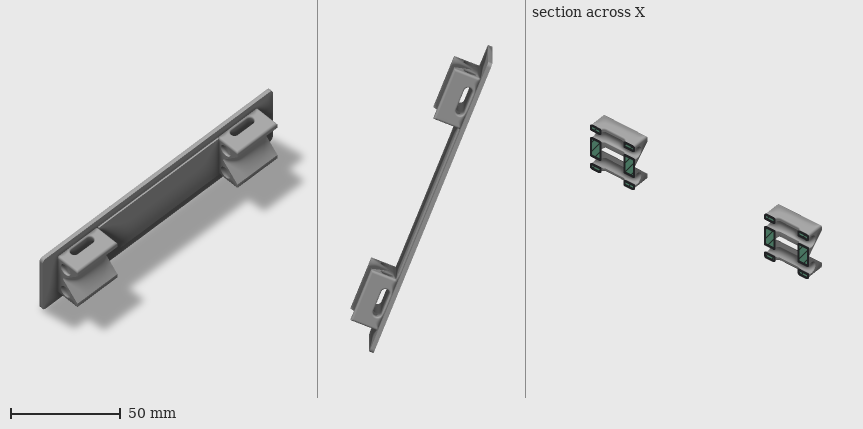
import cadquery as cq

OVERALL_DEPTH = 14.91
PLATE_LENGTH = 146.1
PLATE_HEIGHT = 35.1
PLATE_THICKNESS = 2.05
PLATE_CORNER_RADIUS = 2.0

BLOCK_SIZE = 25.4
BLOCK_SPACING = 101.6
BLOCK_EDGE_RADIUS = 1.1
BLOCK_DEPTH = OVERALL_DEPTH - PLATE_THICKNESS
BLOCK_CENTERS_Y = (-BLOCK_SPACING / 2, BLOCK_SPACING / 2)

WEB_THICKNESS = 0.8
WEB_LENGTH = BLOCK_SPACING - BLOCK_SIZE

GROOVE_APEX_X = 5.3
GROOVE_HALF_OPENING = OVERALL_DEPTH - GROOVE_APEX_X

HOLE_DIAMETER = 6.35
HOLE_X = 7.2
HOLE_OFFSET_Z = 7.62

SLOT_X = 4.95
SLOT_WIDTH = 4.0
SLOT_LENGTH = 13.7
SLOT_RIM_RADIUS = 0.8


def box_from_x(start_x, depth, length, height, center_y=0):
    """Box centred on Z = 0 that runs from start_x toward +X."""
    return (
        cq.Workplane("XY")
        .box(depth, length, height, centered=(False, True, True))
        .translate((start_x, center_y, 0))
    )


def make_plate():
    plate = box_from_x(0, PLATE_THICKNESS, PLATE_LENGTH, PLATE_HEIGHT)
    return plate.edges("|X").fillet(PLATE_CORNER_RADIUS)


def make_web():
    return box_from_x(PLATE_THICKNESS, WEB_THICKNESS, WEB_LENGTH, BLOCK_SIZE)


def make_groove(center_y):
    return (
        cq.Workplane("XZ", origin=(0, center_y + BLOCK_SIZE / 2, 0))
        .moveTo(GROOVE_APEX_X, 0)
        .lineTo(OVERALL_DEPTH, GROOVE_HALF_OPENING)
        .lineTo(OVERALL_DEPTH, -GROOVE_HALF_OPENING)
        .close()
        .extrude(BLOCK_SIZE)
    )


def make_holes(center_y):
    return (
        cq.Workplane("XZ", origin=(HOLE_X, center_y + BLOCK_SIZE / 2, 0))
        .pushPoints([(0, -HOLE_OFFSET_Z), (0, HOLE_OFFSET_Z)])
        .circle(HOLE_DIAMETER / 2)
        .extrude(BLOCK_SIZE)
    )


def cut_slot(block, center_y):
    """Cut the slot through the block and round its rim on the top and bottom faces."""
    slot = (
        cq.Workplane("XY", origin=(SLOT_X, center_y, -BLOCK_SIZE / 2))
        .slot2D(SLOT_LENGTH, SLOT_WIDTH, angle=90)
        .extrude(BLOCK_SIZE)
    )
    rim_reach = SLOT_WIDTH / 2 + SLOT_RIM_RADIUS / 2
    rim_zone = cq.selectors.BoxSelector(
        (SLOT_X - rim_reach, center_y - SLOT_LENGTH, -BLOCK_SIZE),
        (SLOT_X + rim_reach, center_y + SLOT_LENGTH, BLOCK_SIZE),
    )
    slotted = block.cut(slot)
    rim_edges = slotted.faces("<Z or >Z").edges(rim_zone)
    return rim_edges.fillet(SLOT_RIM_RADIUS)


def make_block(center_y):
    block = box_from_x(PLATE_THICKNESS, BLOCK_DEPTH, BLOCK_SIZE, BLOCK_SIZE, center_y)
    block = block.edges("|X or (>X and |Y)").fillet(BLOCK_EDGE_RADIUS)
    block = cut_slot(block, center_y)
    return block.cut(make_groove(center_y)).cut(make_holes(center_y))


result = make_plate().union(make_web())
for block_center_y in BLOCK_CENTERS_Y:
    result = result.union(make_block(block_center_y))